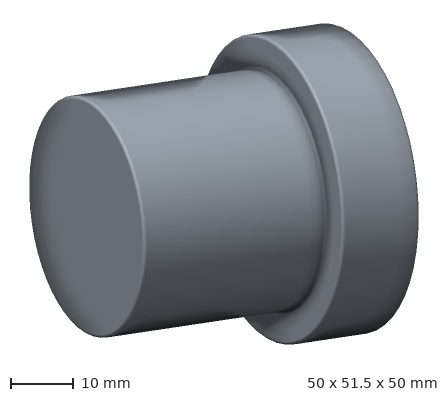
import cadquery as cq

flange_diameter = 50.0
flange_thickness = 14.0
body_diameter = 39.0
body_length = 33.0
ball_diameter = 22.2
ball_protrusion = 4.5

edge_radius = 0.5
shoulder_fillet_radius = 0.5


def cylinder_along_y(diameter, start, length):
    """Cylinder on the Y axis running from start towards +Y."""
    base = cq.Workplane("XZ", origin=(0, start, 0))
    return base.circle(diameter / 2).extrude(-length)


def make_flange():
    """Flange with both rims rounded."""
    flange = cylinder_along_y(flange_diameter, 0, flange_thickness)
    return flange.edges("%CIRCLE").fillet(edge_radius)


def make_body():
    """Cylindrical body with its free end rounded."""
    body = cylinder_along_y(body_diameter, -body_length, body_length)
    return body.faces("<Y").edges().fillet(edge_radius)


def round_shoulder(housing):
    """Blend the body into the flange along the circle at Y = 0."""
    margin = shoulder_fillet_radius / 2
    reach = body_diameter / 2 + margin
    shoulder_edge = cq.selectors.BoxSelector(
        (-reach, -margin, -reach),
        (reach, margin, reach),
        boundingbox=True,
    )
    return housing.edges(shoulder_edge).fillet(shoulder_fillet_radius)


def make_ball():
    """Ball whose top stands proud of the flange face; its poles lie on the Y axis."""
    ball_radius = ball_diameter / 2
    center_y = flange_thickness + ball_protrusion - ball_radius
    return cq.Workplane("XZ", origin=(0, center_y, 0)).sphere(ball_radius)


housing = round_shoulder(make_flange().union(make_body()))
result = housing.union(make_ball())